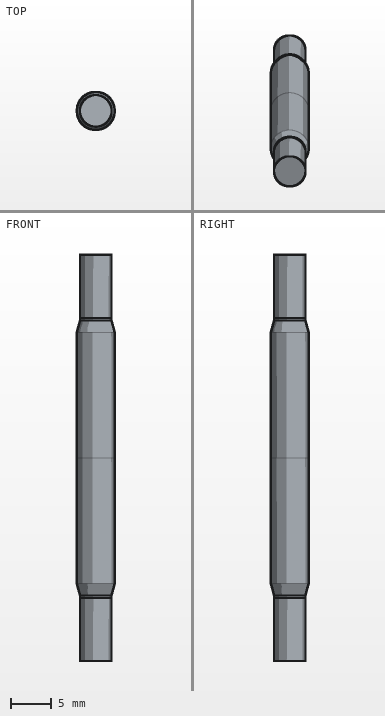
import cadquery as cq

total_length = 50.8
body_diameter = 4.8
pin_diameter = 3.95
pin_length = 7.9
collar_length = 0.3
taper_length = 1.45

half_length = total_length / 2
body_radius = body_diameter / 2
pin_radius = pin_diameter / 2
pin_inner_z = half_length - pin_length
body_end_z = pin_inner_z - collar_length
taper_start_z = body_end_z - taper_length


def make_disc(bottom_z, length):
    """Cylinder of pin diameter on the part axis."""
    return cq.Workplane("XY").workplane(offset=bottom_z).circle(pin_radius).extrude(length)


def make_pin(end):
    """Plain round end pin; end is 1 for the top pin and -1 for the bottom pin."""
    bottom_z = pin_inner_z if end > 0 else -half_length
    return make_disc(bottom_z, pin_length)


def make_collar(end):
    """Thin disc between a pin and the body, flush with the pin."""
    bottom_z = body_end_z if end > 0 else -pin_inner_z
    return make_disc(bottom_z, collar_length)


def make_body():
    """Round barrel tapering to the pin diameter, its outer face divided at mid-length."""
    return (
        cq.Workplane("XZ")
        .moveTo(0, -body_end_z)
        .lineTo(-pin_radius, -body_end_z)
        .lineTo(-body_radius, -taper_start_z)
        .lineTo(-body_radius, 0)
        .lineTo(-body_radius, taper_start_z)
        .lineTo(-pin_radius, body_end_z)
        .lineTo(0, body_end_z)
        .close()
        .revolve(360, (0, 0, 0), (0, 1, 0), clean=False)
    )


body = make_body()
pins = [make_pin(end).val() for end in (1, -1)]
collars = [make_collar(end).val() for end in (1, -1)]

result = cq.Compound.makeCompound([body.val(), *pins, *collars])